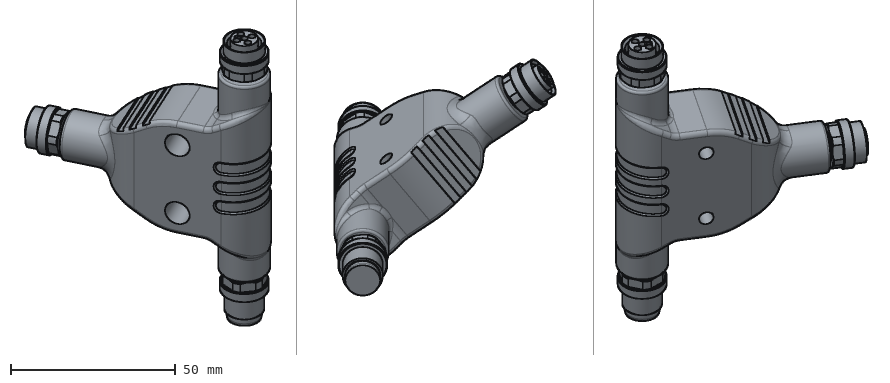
import cadquery as cq
import math


overall_x = 77.4
overall_z = 102.1
top_tip = 48.4
bottom_tip = top_tip - overall_z

body_width = 23.0
sleeve_dia = 16.0
run_sleeve_dia = 15.9
sleeve_rim_round = 0.8
round_radius = body_width / 2
branch_tip = overall_x - sleeve_dia / 2
run_end_x = sleeve_dia / 2 - round_radius
branch_end_x = -31.4
shoulder_height = 20.4
edge_round = 1.5
branch_slope = 30.0
branch_slope_foot = 8.6
branch_slope_foot_x = -43.8
shoulder_radius = 20.4
run_slope = 29.5
run_slope_foot_x = -7.9
run_slope_radius = 5.1
branch_blend = 4.4
run_blend = 1.5

screw_x = -17.5
screw_z = 12.5
screw_dia = 4.5
screw_head_dia = 8.0
screw_head_depth = body_width / 2

groove_count = 3
groove_pitch = 5.0
groove_width = 2.6
groove_depth = 0.5
first_groove_x = -26.9

grip_count = 3
grip_pitch = 7.0
grip_depth = 0.4
grip_rim_width = 4.6
grip_floor_width = 3.4

neck_dia = 9.3
neck_length = 0.9
hex_flats = 13.3
hex_corner_dia = 14.1
hex_length = 3.3
ring_dia = 15.0
ring_length = 3.5
ring_chamfer = 0.3

socket_shell_dia = 12.8
socket_shell_length = 3.9
socket_bore_dia = 10.5
socket_bore_depth = 5.1
socket_mouth_dia = 12.1
insert_dia = 8.4
insert_proud = 0.9
insert_length = socket_bore_depth + insert_proud + 1.0
seal_tube_radius = 0.6
contact_dia = 2.1
contact_pitch_radius = 2.6
contact_depth = 5.1
outer_contact_count = 4
key_width = 0.9
key_reach = 3.1
nut_length = neck_length + hex_length + ring_length
socket_length = nut_length + socket_shell_length + insert_proud

plug_shell_dia = 12.3
plug_shell_length = 7.0
plug_tip_dia = 10.9
plug_tip_length = 3.0
plug_neck_dia = 10.8
plug_neck_length = 0.5
plug_end_dia = 10.5
plug_end_length = 1.0
plug_length = nut_length + plug_shell_length + plug_tip_length

top_sleeve_end = top_tip - socket_length
bottom_sleeve_end = -bottom_tip - plug_length
branch_sleeve_end = branch_tip - socket_length
branch_nut_angle = 42.0

overlap = 1.0
match_tolerance = 0.01
nearly_parallel = 0.99


def cylinder(dia, start, length):
    return cq.Workplane("XY").workplane(offset=start).circle(dia / 2).extrude(length)


def to_branch(shape):
    """Turn a shape built along +Z so that it points along -X."""
    return shape.rotate((0, 0, 0), (0, 1, 0), -90)


def to_bottom(shape):
    """Turn a shape built along +Z so that it points along -Z."""
    return shape.rotate((0, 0, 0), (1, 0, 0), 180)



def upper_profile_points():
    """Corners and tangent points of the upper body outline, from the branch to the run."""
    slope = math.radians(branch_slope)
    corner_x = branch_slope_foot_x + (shoulder_height - branch_slope_foot) / math.tan(slope)
    tangent = shoulder_radius * math.tan(slope / 2)
    arc_start = (corner_x - tangent * math.cos(slope), shoulder_height - tangent * math.sin(slope))
    arc_end = (corner_x + tangent, shoulder_height)
    left_x = branch_end_x - round_radius - overlap
    left = (left_x, branch_slope_foot + (left_x - branch_slope_foot_x) * math.tan(slope))

    rise = math.radians(run_slope)
    run_tangent = run_slope_radius * math.tan(rise / 2)
    run_start = (run_slope_foot_x - run_tangent, shoulder_height)
    run_finish = (run_slope_foot_x + run_tangent * math.cos(rise),
                  shoulder_height + run_tangent * math.sin(rise))
    right_x = run_end_x + round_radius + overlap
    right = (right_x, shoulder_height + (right_x - run_slope_foot_x) * math.tan(rise))
    return left, arc_start, arc_end, run_start, run_finish, right


def half_profile():
    """Solid above the branch axis, bounded by the upper body outline."""
    left, arc_start, arc_end, run_start, run_finish, right = upper_profile_points()
    return (
        cq.Workplane("XZ", origin=(0, body_width, 0))
        .moveTo(left[0], 0)
        .lineTo(*left)
        .lineTo(*arc_start)
        .tangentArcPoint(arc_end, relative=False)
        .lineTo(*run_start)
        .tangentArcPoint(run_finish, relative=False)
        .lineTo(*right)
        .lineTo(right[0], 0)
        .close()
        .extrude(2 * body_width)
    )


def sleeve(length, dia):
    return cylinder(dia, 0, length).faces(">Z").edges().fillet(sleeve_rim_round)


def is_outline_edge(edge):
    """True for the edges between the flanks of the body and its sloped upper or lower faces."""
    if abs(edge.Center().z) < overlap:
        return False
    if edge.geomType() != "LINE":
        return True
    runs_along_y_or_z = max(abs(edge.tangentAt(0).y), abs(edge.tangentAt(0).z)) > nearly_parallel
    return not runs_along_y_or_z


def lies_on_run_sleeve(edge):
    """True for the edges where the run sleeves emerge from the sloped body faces."""
    if abs(edge.Center().z) < shoulder_height - edge_round or edge.geomType() == "CIRCLE":
        return False
    if edge.geomType() == "LINE" and abs(edge.tangentAt(0).z) > nearly_parallel:
        return False
    samples = edge.positions([0.1, 0.5, 0.9])
    return all(abs(math.hypot(p.x, p.y) - run_sleeve_dia / 2) < match_tolerance for p in samples)


def is_branch_root(edge):
    """True for the closed edge where the branch sleeve emerges from the rounded body end."""
    centre = edge.Center()
    return branch_end_x - round_radius < centre.x < branch_end_x and abs(centre.z) < overlap


def fillet_edges(solid, wanted, radius):
    return solid.newObject([e for e in solid.edges().vals() if wanted(e)]).fillet(radius)


def body():
    flank_length = run_end_x - branch_end_x
    height = 2 * top_sleeve_end
    stadium = (
        cq.Workplane("XY", origin=((run_end_x + branch_end_x) / 2, 0, -height / 2))
        .slot2D(flank_length + body_width, body_width)
        .extrude(height)
    )
    upper = half_profile()
    block = stadium.intersect(upper.union(upper.mirror("XY")))
    block = fillet_edges(block, is_outline_edge, edge_round)

    block = block.union(to_branch(sleeve(branch_sleeve_end, sleeve_dia)))
    block = fillet_edges(block, is_branch_root, branch_blend)

    block = block.union(sleeve(top_sleeve_end, run_sleeve_dia))
    block = block.union(to_bottom(sleeve(bottom_sleeve_end, run_sleeve_dia)))
    return fillet_edges(block, lies_on_run_sleeve, run_blend)



def screw_hole(z):
    """Through hole with a deep round recess for the screw head on the -Y flank."""
    flank = cq.Workplane("XZ", origin=(screw_x, round_radius, z))
    shaft = flank.circle(screw_dia / 2).extrude(body_width)
    head = (
        cq.Workplane("XZ", origin=(screw_x, screw_head_depth - round_radius, z))
        .circle(screw_head_dia / 2)
        .extrude(screw_head_depth)
    )
    return shaft.union(head)


def finger_grooves():
    """Square grooves along Y, cut perpendicular to the upper branch-side slope."""
    slope = math.radians(branch_slope)
    first_z = branch_slope_foot + (first_groove_x - branch_slope_foot_x) * math.tan(slope)
    grooves = cq.Workplane("XY")
    for i in range(groove_count):
        cutter = cq.Workplane("XY").box(
            groove_width, body_width + overlap, 2 * groove_depth, centered=(False, True, True)
        )
        cutter = cutter.translate((-groove_width - i * groove_pitch, 0, 0))
        cutter = cutter.rotate((0, 0, 0), (0, 1, 0), -branch_slope)
        grooves = grooves.add(cutter.translate((first_groove_x, 0, first_z)))
    return grooves.combine()


def grip_recess(z):
    """Shallow recess with sloped walls, wrapped around the run side and round at both ends."""
    floor = round_radius - grip_depth
    flare = (grip_rim_width - grip_floor_width) / 2 / grip_depth
    reach = round_radius + grip_depth
    floor_half = grip_floor_width / 2
    outer_half = floor_half + flare * (reach - floor)
    wrap = (
        cq.Workplane("XZ")
        .polyline([(floor, -floor_half), (floor, floor_half), (reach, outer_half), (reach, -outer_half)])
        .close()
        .revolve(180, (0, 0, 0), (0, 1, 0))
        .rotate((0, 0, 0), (0, 0, 1), -90)
    )
    cone = cq.Workplane(
        cq.Solid.makeCone(floor_half, outer_half, reach - floor, cq.Vector(0, floor, 0), cq.Vector(0, 1, 0))
    )
    recess = wrap.union(cone).union(cone.mirror("XZ"))
    return recess.translate((run_end_x, 0, z))



def coupling_nut(corner_angle):
    """Neck, corner-rounded hexagon and collar ring; one hexagon corner points at corner_angle."""
    hex_start = neck_length
    ring_start = hex_start + hex_length
    neck = cylinder(neck_dia, -overlap, neck_length + 2 * overlap)
    hexagon = (
        cq.Workplane("XY", origin=(0, 0, hex_start))
        .polygon(6, hex_flats / math.cos(math.radians(30)))
        .extrude(hex_length)
        .rotate((0, 0, 0), (0, 0, 1), corner_angle)
    )
    turned = cylinder(hex_corner_dia, hex_start, hex_length).faces("<Z").chamfer(ring_chamfer)
    ring = cylinder(ring_dia, ring_start, ring_length).faces("<Z or >Z").chamfer(ring_chamfer)
    return neck.union(hexagon.intersect(turned)).union(ring)


def contact_insert(key_angle):
    """Face insert with a centre contact, four around it and a key slot between two of them."""
    insert_start = socket_length - insert_length
    insert = cylinder(insert_dia, insert_start, insert_length)
    floor = socket_length - contact_depth
    centre_contact = cylinder(contact_dia, floor, contact_depth)
    insert = insert.cut(centre_contact)
    contact_step = 360 / outer_contact_count
    for i in range(outer_contact_count):
        angle = math.radians(key_angle + contact_step * (i + 0.5))
        place = (contact_pitch_radius * math.cos(angle), contact_pitch_radius * math.sin(angle), 0)
        insert = insert.cut(centre_contact.translate(place))
    key = (
        cq.Workplane("XY", origin=(0, 0, floor))
        .box(key_reach, key_width, contact_depth, centered=(False, True, False))
        .rotate((0, 0, 0), (0, 0, 1), key_angle)
    )
    return insert.cut(key)


def socket_connector(corner_angle, key_angle):
    shell_end = nut_length + socket_shell_length
    bore_floor = shell_end - socket_bore_depth
    shell = coupling_nut(corner_angle).union(cylinder(socket_shell_dia, nut_length, socket_shell_length))
    shell = shell.cut(cylinder(socket_bore_dia, bore_floor, socket_bore_depth))
    mouth_depth = (socket_mouth_dia - socket_bore_dia) / 2
    mouth = cq.Workplane(
        cq.Solid.makeCone(socket_bore_dia / 2, socket_mouth_dia / 2, mouth_depth,
                          cq.Vector(0, 0, shell_end - mouth_depth))
    )
    seal = cq.Workplane(
        cq.Solid.makeTorus((insert_dia + socket_bore_dia) / 4, seal_tube_radius,
                           cq.Vector(0, 0, bore_floor + seal_tube_radius))
    )
    return shell.cut(mouth).union(seal).union(contact_insert(key_angle))


def plug_connector(corner_angle):
    tip_start = nut_length + plug_shell_length
    shell = cylinder(plug_shell_dia, nut_length, plug_shell_length)
    end_step = (plug_tip_dia - plug_end_dia) / 2
    neck = cylinder(plug_neck_dia, tip_start, plug_neck_length)
    lip_start = tip_start + plug_neck_length
    lip_length = plug_tip_length - plug_neck_length
    tip = cylinder(plug_tip_dia, lip_start, lip_length).faces(">Z").chamfer(plug_end_length, end_step)
    return coupling_nut(corner_angle).union(shell).union(neck).union(tip)



result = body()

for side in (-1, 1):
    result = result.cut(screw_hole(side * screw_z))

upper_grooves = finger_grooves()
result = result.cut(upper_grooves).cut(upper_grooves.mirror("XY"))

for i in range(grip_count):
    result = result.cut(grip_recess((i - (grip_count - 1) / 2) * grip_pitch))

top_socket = socket_connector(corner_angle=0, key_angle=180).translate((0, 0, top_sleeve_end))
branch_socket = socket_connector(corner_angle=branch_nut_angle, key_angle=225)
branch_socket = to_branch(branch_socket.translate((0, 0, branch_sleeve_end)))
bottom_plug = to_bottom(plug_connector(corner_angle=90).translate((0, 0, bottom_sleeve_end)))
result = result.union(top_socket).union(branch_socket).union(bottom_plug)